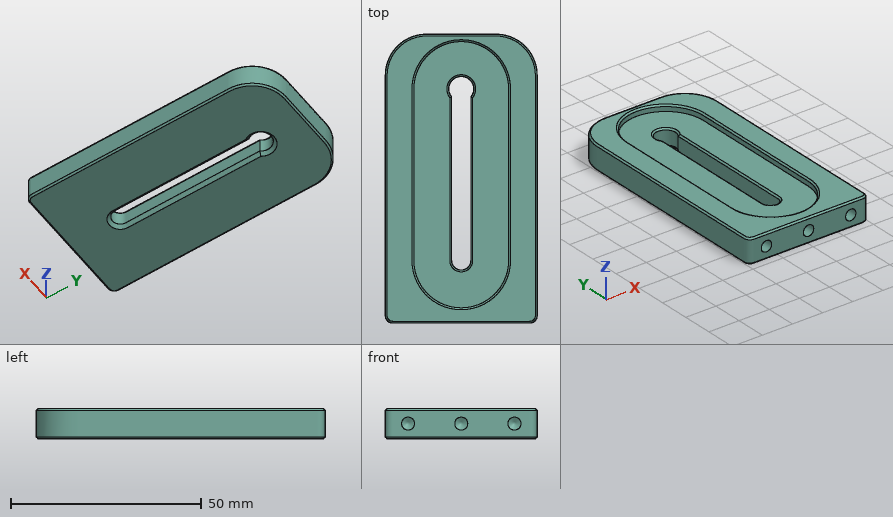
import cadquery as cq
import math

width = 40.0
length = 76.0
thickness = 8.0
back_corner_radius = 10.9
front_corner_radius = 2.0
edge_chamfer = 0.5

recess_radius = 12.5
recess_depth = 2.0
recess_back_center = length / 2 - 14.45
recess_front_center = -length / 2 + 16.5

slot_radius = 2.5
keyhole_radius = 3.3
underside_chamfer = 1.0

drill_diameter = 3.4
drill_depth = 9.9
drill_point_angle = 118.0
drill_spacing = 14.0

top = thickness / 2
recess_floor = top - recess_depth


def plate():
    """Block with rounded corners and chamfered top and bottom outlines."""
    body = cq.Workplane("XY").box(width, length, thickness)
    body = body.edges("|Z and >Y").fillet(back_corner_radius)
    body = body.edges("|Z and <Y").fillet(front_corner_radius)
    return body.faces("|Z").edges().chamfer(edge_chamfer)


def round_ended_cutter(radius, bottom, height):
    """Upright slot-shaped solid running between the two end centers."""
    span = recess_back_center - recess_front_center
    middle = (recess_back_center + recess_front_center) / 2
    return (
        cq.Workplane("XY", origin=(0, middle, bottom))
        .slot2D(span + 2 * radius, 2 * radius, 90)
        .extrude(height)
    )


def keyhole_cutter():
    """Narrow slot with a larger round opening at its back end."""
    slot = round_ended_cutter(slot_radius, -top, thickness)
    opening = (
        cq.Workplane("XY", origin=(0, recess_back_center, -top))
        .circle(keyhole_radius)
        .extrude(thickness)
    )
    return slot.union(opening)


def drill():
    """Hole with a conical bottom, entering from the front face."""
    radius = drill_diameter / 2
    point = radius / math.tan(math.radians(drill_point_angle / 2))
    return (
        cq.Workplane("XY")
        .polyline([(0, 0), (radius, 0), (radius, drill_depth), (0, drill_depth + point)])
        .close()
        .revolve(360, (0, 0, 0), (0, 1, 0))
        .translate((0, -length / 2, 0))
    )


def rim(radius, z):
    """Selects the edges of a slot of the given radius lying in the plane z."""
    return cq.selectors.BoxSelector(
        (-radius - edge_chamfer, recess_front_center - radius, z - edge_chamfer / 2),
        (radius + edge_chamfer, recess_back_center + radius, z + edge_chamfer / 2),
    )


result = plate()

result = result.cut(round_ended_cutter(recess_radius, recess_floor, recess_depth))
result = result.edges(rim(recess_radius, top)).chamfer(edge_chamfer)

result = result.cut(keyhole_cutter())
result = result.edges(rim(keyhole_radius, recess_floor)).chamfer(edge_chamfer)
result = result.edges(rim(keyhole_radius, -top)).chamfer(underside_chamfer)

for x in (-drill_spacing, 0, drill_spacing):
    result = result.cut(drill().translate((x, 0, 0)))